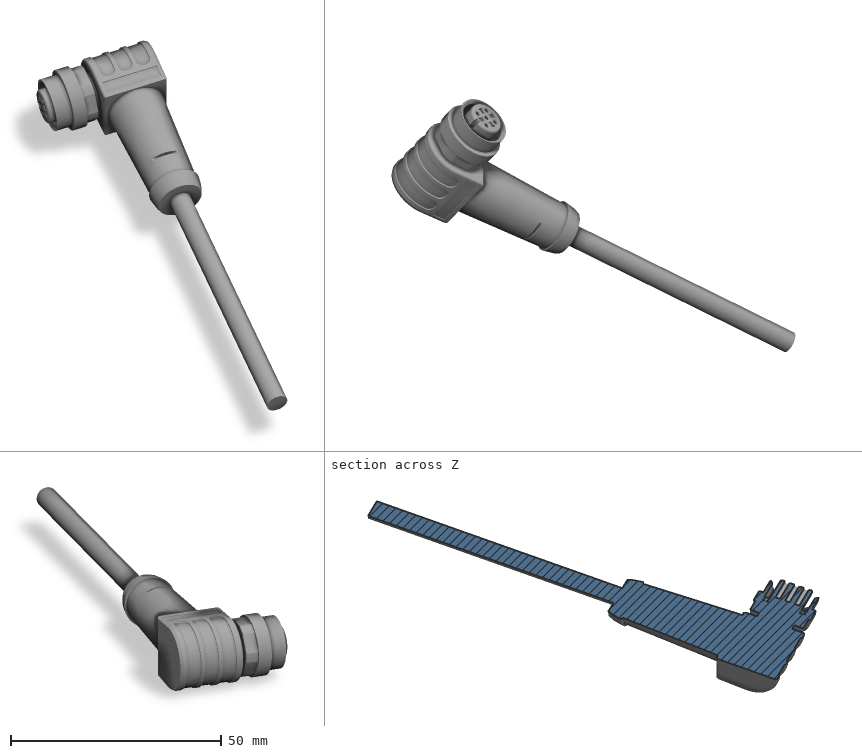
import cadquery as cq
import math

TOTAL_LENGTH = 109.7

HEAD_RADIUS = 8.0
BODY_HALF_WIDTH = 8.0
BODY_END_X = 8.0
BODY_END_HALF_HEIGHT = 7.6
BODY_FRONT_FILLET = 0.5
BODY_BACK_CHAMFER_DEPTH = 0.3
BODY_BACK_CHAMFER_LENGTH = 0.7

GROOVE_PITCH = 4.5
GROOVE_WIDTH = 3.5
GROOVE_DEPTH = 0.3
GROOVE_END_X = 2.5
GROOVE_END_RADIUS = 1.5
GROOVE_FLOOR_FILLET = 0.2

PANEL_START_X = 3.7
PANEL_END_X = 6.8
PANEL_WIDTH = 13.9
PANEL_DEPTH = 0.2

SLEEVE_START_RADIUS = 13.9 / 2
SLEEVE_END_RADIUS = 11.7 / 2
COLLAR_START_X = 33.5
COLLAR_END_X = 37.4
COLLAR_RADIUS = 12.8 / 2
COLLAR_CREST_X = 35.4
COLLAR_CREST_RADIUS = 6.1
COLLAR_END_RADIUS = 11.0 / 2
CABLE_DIAMETER = 5.2
CABLE_END_X = TOTAL_LENGTH - HEAD_RADIUS

NOTCH_START_X = 27.2
NOTCH_WIDTH = 0.8
NOTCH_FLOOR_Z = 5.2

NECK_DIAMETER = 9.3
HEX_TOP_Y = -9.1
RING_TOP_Y = -12.1
BARREL_TOP_Y = -15.5
BARREL_END_Y = -19.4
HEX_FLAT_DISTANCE = 13.2
HEX_CORNER_DIAMETER = 14.0
HEX_TURN = 30
RING_DIAMETER = 15.0
RING_CHAMFER_HEIGHT = 0.1
RING_CHAMFER_WIDTH = 0.4
BARREL_DIAMETER = 12.8
BORE_DIAMETER = 11.0
BORE_MOUTH_DIAMETER = 12.3
BORE_BOTTOM_Y = -13.2

INSERT_DIAMETER = 8.4
INSERT_END_Y = -20.7
INSERT_END_FILLET = 0.5
KEYWAY_WIDTH = 1.1
KEYWAY_DEPTH = 1.0
KEYWAY_LENGTH = 5.5
KEYWAY_ANGLE = 225
SOCKET_DIAMETER = 1.1
SOCKET_MOUTH_DIAMETER = 1.5
SOCKET_DEPTH = 5.5
SOCKET_PITCH = 2.5
SOCKET_PLACES = [(0, 0), (SOCKET_PITCH, 0), (-SOCKET_PITCH, 0), (0, SOCKET_PITCH), (0, -SOCKET_PITCH)]

POCKET_DIAMETER = 5.7
POCKET_DEPTH = 0.5
ISLAND_DIAMETER = 2.6

SEAL_RADIUS = 0.7
SEAL_RING_RADIUS = (INSERT_DIAMETER + BORE_DIAMETER) / 4
SEAL_CENTRE_Y = -13.7


def along_y(diameter, start_y, end_y):
    """Cylinder on the connector axis from start_y down to end_y."""
    start = cq.Workplane("XZ", origin=(0, start_y, 0))
    return start.circle(diameter / 2).extrude(start_y - end_y)


def body_prism(inset=0.0):
    """Head outline (arc with tangent tapering sides), moved inwards by inset."""
    reach = math.hypot(BODY_END_X, BODY_END_HALF_HEIGHT)
    tangent_angle = math.atan2(BODY_END_HALF_HEIGHT, BODY_END_X) + math.acos(HEAD_RADIUS / reach)
    radius = HEAD_RADIUS - inset
    tangent_x = radius * math.cos(tangent_angle)
    tangent_z = radius * math.sin(tangent_angle)
    end_z = BODY_END_HALF_HEIGHT - inset / math.sin(tangent_angle)
    return (
        cq.Workplane("XZ", origin=(0, BODY_HALF_WIDTH, 0))
        .moveTo(BODY_END_X, -end_z)
        .lineTo(BODY_END_X, end_z)
        .lineTo(tangent_x, tangent_z)
        .threePointArc((-radius, 0), (tangent_x, -tangent_z))
        .close()
        .extrude(2 * BODY_HALF_WIDTH)
    )


def grip_groove(centre_y):
    """Round-ended band outside the groove floor, to be cut from the body."""
    height = 4 * HEAD_RADIUS
    length = 2 * HEAD_RADIUS + GROOVE_END_X
    band = (
        cq.Workplane("XY")
        .box(length, GROOVE_WIDTH, height)
        .edges("|Z and >X")
        .fillet(GROOVE_END_RADIUS)
        .translate((GROOVE_END_X - length / 2, centre_y, 0))
    )
    groove = band.cut(body_prism(GROOVE_DEPTH))
    low_corner = (-HEAD_RADIUS, -BODY_HALF_WIDTH, -HEAD_RADIUS)
    high_corner = (HEAD_RADIUS, BODY_HALF_WIDTH, HEAD_RADIUS)
    floor_edges = cq.selectors.BoxSelector(low_corner, high_corner)
    return groove.edges(floor_edges).fillet(GROOVE_FLOOR_FILLET)


def label_panels():
    """Top and bottom panel recesses, following the taper of the body."""
    panel_length = PANEL_END_X - PANEL_START_X
    column = cq.Workplane("XY").box(panel_length, PANEL_WIDTH, 4 * HEAD_RADIUS)
    column = column.translate(((PANEL_START_X + PANEL_END_X) / 2, 0, 0))
    return column.cut(body_prism(PANEL_DEPTH))


def make_body():
    body = body_prism()
    body = body.faces("<Y").edges().fillet(BODY_FRONT_FILLET)
    body = body.faces(">Y").chamfer(BODY_BACK_CHAMFER_DEPTH, BODY_BACK_CHAMFER_LENGTH)
    for step in (-1, 0, 1):
        body = body.cut(grip_groove(step * GROOVE_PITCH))
    return body.cut(label_panels())


def make_sleeve_and_cable():
    sleeve = (
        cq.Workplane("XY")
        .lineTo(0, SLEEVE_START_RADIUS)
        .lineTo(BODY_END_X, SLEEVE_START_RADIUS)
        .lineTo(COLLAR_START_X, SLEEVE_END_RADIUS)
        .lineTo(COLLAR_START_X, COLLAR_RADIUS)
        .threePointArc((COLLAR_CREST_X, COLLAR_CREST_RADIUS), (COLLAR_END_X, COLLAR_END_RADIUS))
        .lineTo(COLLAR_END_X, CABLE_DIAMETER / 2)
        .lineTo(CABLE_END_X, CABLE_DIAMETER / 2)
        .lineTo(CABLE_END_X, 0)
        .close()
        .revolve(360, (0, 0, 0), (1, 0, 0))
    )
    notch_height = SLEEVE_START_RADIUS
    notch = cq.Workplane("XY").box(NOTCH_WIDTH, 2 * SLEEVE_START_RADIUS, notch_height)
    notch_x = NOTCH_START_X + NOTCH_WIDTH / 2
    notch_z = NOTCH_FLOOR_Z + notch_height / 2
    for side in (1, -1):
        sleeve = sleeve.cut(notch.translate((notch_x, 0, side * notch_z)))
    return sleeve


def make_nut():
    hexagon = (
        cq.Workplane("XZ", origin=(0, HEX_TOP_Y, 0))
        .polygon(6, HEX_FLAT_DISTANCE, circumscribed=True)
        .extrude(HEX_TOP_Y - RING_TOP_Y)
        .rotate((0, 0, 0), (0, 1, 0), HEX_TURN)
        .intersect(along_y(HEX_CORNER_DIAMETER, HEX_TOP_Y, RING_TOP_Y))
    )
    ring = along_y(RING_DIAMETER, RING_TOP_Y, BARREL_TOP_Y)
    ring = ring.faces("<Y").chamfer(RING_CHAMFER_HEIGHT, RING_CHAMFER_WIDTH)
    barrel = along_y(BARREL_DIAMETER, BARREL_TOP_Y, BARREL_END_Y)
    nut = hexagon.union(ring).union(barrel)
    nut = nut.cut(along_y(BORE_DIAMETER, BORE_BOTTOM_Y, BARREL_END_Y))
    mouth_chamfer = (BORE_MOUTH_DIAMETER - BORE_DIAMETER) / 2
    bore_edge = nut.faces("<Y").edges(cq.selectors.RadiusNthSelector(0))
    return bore_edge.chamfer(mouth_chamfer)


def socket():
    """Blind hole with a countersunk mouth, opening at the origin towards -Y."""
    radius = SOCKET_DIAMETER / 2
    mouth_radius = SOCKET_MOUTH_DIAMETER / 2
    return (
        cq.Workplane("XY")
        .lineTo(mouth_radius, 0)
        .lineTo(radius, mouth_radius - radius)
        .lineTo(radius, SOCKET_DEPTH)
        .lineTo(0, SOCKET_DEPTH)
        .close()
        .revolve(360, (0, 0, 0), (0, 1, 0))
    )


def make_insert():
    insert = along_y(INSERT_DIAMETER, 0, INSERT_END_Y).faces("<Y").edges().fillet(INSERT_END_FILLET)

    keyway = cq.Workplane("XY").box(2 * KEYWAY_DEPTH, KEYWAY_LENGTH, KEYWAY_WIDTH)
    keyway = keyway.translate((INSERT_DIAMETER / 2, INSERT_END_Y + KEYWAY_LENGTH / 2, 0))
    insert = insert.cut(keyway.rotate((0, 0, 0), (0, -1, 0), KEYWAY_ANGLE))

    pocket = along_y(POCKET_DIAMETER, INSERT_END_Y + POCKET_DEPTH, INSERT_END_Y)
    island = along_y(ISLAND_DIAMETER, INSERT_END_Y + POCKET_DEPTH, INSERT_END_Y)
    for x, z in SOCKET_PLACES:
        pocket = pocket.cut(island.translate((x, 0, z)))
    insert = insert.cut(pocket)
    for x, z in SOCKET_PLACES:
        insert = insert.cut(socket().translate((x, INSERT_END_Y, z)))
    return insert


def make_seal():
    ring = cq.Solid.makeTorus(
        SEAL_RING_RADIUS, SEAL_RADIUS, cq.Vector(0, SEAL_CENTRE_Y, 0), cq.Vector(0, 1, 0)
    )
    return cq.Workplane(ring)


neck = along_y(NECK_DIAMETER, 0, RING_TOP_Y)
result = (
    make_body()
    .union(make_sleeve_and_cable())
    .union(neck)
    .union(make_nut())
    .union(make_insert())
    .union(make_seal())
)